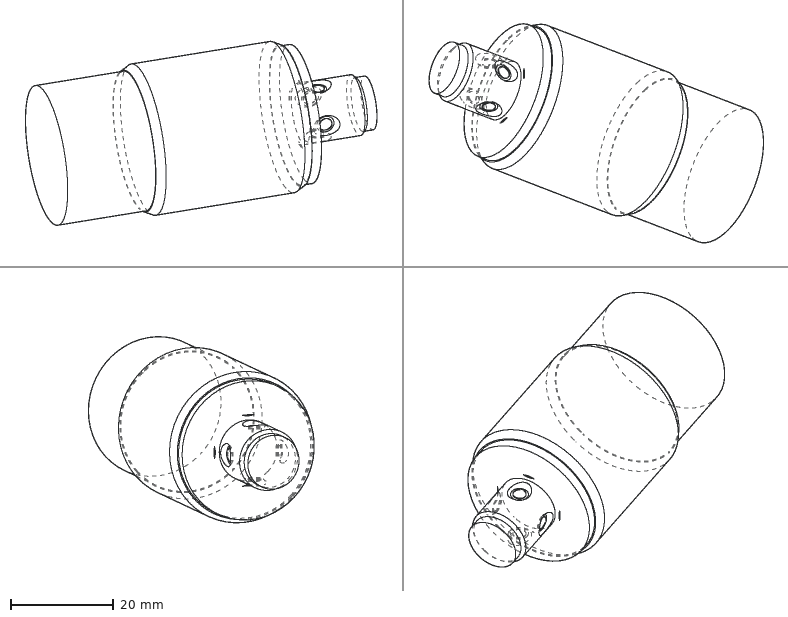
import cadquery as cq


head_diameter = 27.7
head_length = 18.0

barrel_diameter = 30.0
barrel_length = 32.0
shoulder_diameter = 28.1
shoulder_length = 1.8

collar_diameter = 27.6
collar_length = 2.0

stem_diameter = 12.1
stem_length = 14.0
tip_diameter = 10.7
tip_length = 2.0
stem_chamfer = (stem_diameter - tip_diameter) / 2

window_count = 4
window_distance_from_collar = 3.5
countersink_diameter = 5.4
floor_diameter = 3.5
lens_diameter = 2.6
lens_face_radius = tip_diameter / 2

barrel_start = head_length
barrel_end = barrel_start + barrel_length
collar_end = barrel_end + collar_length
stem_end = collar_end + stem_length
tip_start = stem_end - tip_length


def make_body():
    """Revolve the half profile of head, barrel, collar and stem about the Y axis."""
    head_radius = head_diameter / 2
    barrel_radius = barrel_diameter / 2
    collar_radius = collar_diameter / 2
    shoulder_radius = shoulder_diameter / 2
    stem_radius = stem_diameter / 2
    tip_radius = tip_diameter / 2
    profile = [
        (0, 0),
        (head_radius, 0),
        (head_radius, barrel_start),
        (shoulder_radius, barrel_start),
        (barrel_radius, barrel_start + shoulder_length),
        (barrel_radius, barrel_end - shoulder_length),
        (shoulder_radius, barrel_end),
        (collar_radius, barrel_end),
        (collar_radius, collar_end),
        (stem_radius, collar_end),
        (stem_radius, tip_start - stem_chamfer),
        (tip_radius, tip_start),
        (tip_radius, stem_end),
        (0, stem_end),
    ]
    return cq.Workplane("XY").polyline(profile).close().revolve(360, (0, 0), (0, 1))


def make_window_cutter():
    """Build the cutter for the window on the +Z side of the stem."""
    stem_radius = stem_diameter / 2
    floor_radius = floor_diameter / 2
    countersink_radius = countersink_diameter / 2
    floor_height = stem_radius - (countersink_radius - floor_radius)
    clearance = 1.0
    profile = [
        (0, floor_height),
        (floor_radius, floor_height),
        (countersink_radius + clearance, stem_radius + clearance),
        (0, stem_radius + clearance),
    ]
    countersink = cq.Workplane("XZ").polyline(profile).close().revolve(360, (0, 0), (0, 1))

    lens = cq.Workplane("XY").circle(lens_diameter / 2).extrude(stem_radius)
    lens_limit = cq.Workplane("XZ").circle(lens_face_radius).extrude(lens_diameter / 2, both=True)
    cutter = countersink.cut(lens.intersect(lens_limit))
    return cutter.translate((0, collar_end + window_distance_from_collar, 0))


result = make_body()
for index in range(window_count):
    angle = index * 360 / window_count
    result = result.cut(make_window_cutter().rotate((0, 0, 0), (0, 1, 0), angle))